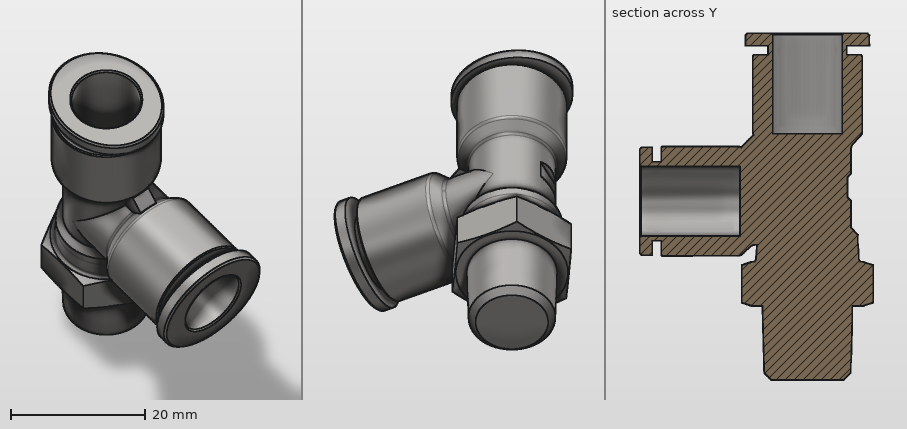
import cadquery as cq
import math


PORT_AXIS_Z = 26.6
PORT_REACH = 25.0
BODY_RADIUS = 6.5
SHELL_RADIUS = 8.18
SHOULDER_START = 8.15
SHOULDER_END = 10.05
SHOULDER_FILLET = 0.8
SHELL_END = 21.8
SHELL_EDGE_CHAMFER = 0.2
NECK_RADIUS = 5.9
FLANGE_THICKNESS = 1.9
FLANGE_LONG_DIAMETER = 18.5
FLANGE_SHORT_DIAMETER = 16.1
FLANGE_CHAMFER = 0.3
TUBE_BORE_RADIUS = 5.15
TUBE_BORE_CHAMFER = 0.25
TUBE_BORE_FLOOR = SHOULDER_END

THREAD_TIP_RADIUS = 5.4
THREAD_SMALL_RADIUS = 6.47
THREAD_LARGE_RADIUS = 6.73
THREAD_CHAMFER_LENGTH = 1.05

NUT_BOTTOM = 11.0
NUT_TOP = 17.6
NUT_ACROSS_FLATS = 17.0
NUT_ACROSS_CORNERS = NUT_ACROSS_FLATS / math.cos(math.pi / 6)
NUT_FACE_RADIUS = 8.35
NUT_CHAMFER_HEIGHT = 0.5

COLLAR_BASE_RADIUS = 7.7
COLLAR_RADIUS = 7.53
COLLAR_FOOT_FILLET = 0.4
COLLAR_STRAIGHT_Z = 20.2
COLLAR_SHOULDER_Z = 21.6
COLLAR_TOP_Z = 22.7

GUSSET_THICKNESS = 3.0
GUSSET_NEAR = 8.05
GUSSET_FAR = 9.85

RECESS_FLOOR_X = -5.97
RECESS_CENTER_Z = 28.7
RECESS_FLOOR_HEIGHT = 3.0
RECESS_DEPTH = BODY_RADIUS + RECESS_FLOOR_X


def revolve_about_z(points):
    """Solid of revolution from (radius, z) points; the first and last lie on the axis."""
    return cq.Workplane("XZ").polyline(points).close().revolve(360, (0, 0), (0, 1))


def make_port_outside():
    """Outside of one port along +Z, starting at the origin; flange is long along X."""
    shell = revolve_about_z([
        (0, 0),
        (BODY_RADIUS, 0),
        (BODY_RADIUS, SHOULDER_START),
        (SHELL_RADIUS, SHOULDER_END),
        (SHELL_RADIUS, SHELL_END),
        (0, SHELL_END),
    ])
    shell = shell.faces(">Z").edges().chamfer(SHELL_EDGE_CHAMFER)
    for shoulder_z in (SHOULDER_START, SHOULDER_END):
        near_shoulder = cq.selectors.BoxSelector(
            (-SHELL_RADIUS, -SHELL_RADIUS, shoulder_z - SHOULDER_FILLET / 2),
            (SHELL_RADIUS, SHELL_RADIUS, shoulder_z + SHOULDER_FILLET / 2),
        )
        shell = shell.edges("%CIRCLE").edges(near_shoulder).fillet(SHOULDER_FILLET)

    flange_bottom = PORT_REACH - FLANGE_THICKNESS
    neck = cq.Workplane("XY").workplane(offset=SHELL_END)
    neck = neck.circle(NECK_RADIUS).extrude(flange_bottom - SHELL_END)
    flange = cq.Workplane("XY").workplane(offset=flange_bottom)
    flange = flange.ellipse(FLANGE_LONG_DIAMETER / 2, FLANGE_SHORT_DIAMETER / 2)
    flange = flange.extrude(FLANGE_THICKNESS)
    flange = flange.faces(">Z").edges().chamfer(FLANGE_CHAMFER)
    return shell.union(neck).union(flange)


def make_tube_bore():
    """Blind tube hole of one port along +Z, with a chamfered mouth."""
    return revolve_about_z([
        (0, TUBE_BORE_FLOOR),
        (TUBE_BORE_RADIUS, TUBE_BORE_FLOOR),
        (TUBE_BORE_RADIUS, PORT_REACH - TUBE_BORE_CHAMFER),
        (TUBE_BORE_RADIUS + TUBE_BORE_CHAMFER, PORT_REACH),
        (0, PORT_REACH),
    ])


def place_on_upper_port(shape):
    return shape.translate((0, 0, PORT_AXIS_Z))


def place_on_side_port(shape):
    """Turn the flange's long axis to Y, then lay the port along +X."""
    turned = shape.rotate((0, 0, 0), (0, 0, 1), 90)
    laid_down = turned.rotate((0, 0, 0), (0, 1, 0), 90)
    return laid_down.translate((0, 0, PORT_AXIS_Z))


def make_thread():
    """Tapered thread cone with a chamfered tip, up to the top of the nut."""
    return revolve_about_z([
        (0, 0),
        (THREAD_TIP_RADIUS, 0),
        (THREAD_SMALL_RADIUS, THREAD_CHAMFER_LENGTH),
        (THREAD_LARGE_RADIUS, NUT_BOTTOM),
        (THREAD_LARGE_RADIUS, NUT_TOP),
        (0, NUT_TOP),
    ])


def make_collar():
    """Collar on the nut, flaring into it with a concave fillet, and narrowing to the body."""
    foot_radius = COLLAR_BASE_RADIUS + COLLAR_FOOT_FILLET
    fillet_top = NUT_TOP + COLLAR_FOOT_FILLET
    fillet_sagitta = COLLAR_FOOT_FILLET * (1 - math.sqrt(0.5))
    profile = (
        cq.Workplane("XZ")
        .moveTo(0, NUT_TOP)
        .lineTo(foot_radius, NUT_TOP)
        .threePointArc(
            (COLLAR_BASE_RADIUS + fillet_sagitta, NUT_TOP + fillet_sagitta),
            (COLLAR_BASE_RADIUS, fillet_top),
        )
        .lineTo(COLLAR_RADIUS, COLLAR_STRAIGHT_Z)
        .lineTo(COLLAR_RADIUS, COLLAR_SHOULDER_Z)
        .lineTo(BODY_RADIUS, COLLAR_TOP_Z)
        .lineTo(BODY_RADIUS, PORT_AXIS_Z)
        .lineTo(0, PORT_AXIS_Z)
        .close()
    )
    return profile.revolve(360, (0, 0), (0, 1))


def make_nut():
    """Hexagon with two corners on the X axis and conical chamfers on both ends."""
    corner_radius = NUT_ACROSS_CORNERS / 2
    hexagon = cq.Workplane("XY").workplane(offset=NUT_BOTTOM)
    hexagon = hexagon.polygon(6, NUT_ACROSS_CORNERS).extrude(NUT_TOP - NUT_BOTTOM)
    chamfer_envelope = revolve_about_z([
        (0, NUT_BOTTOM),
        (NUT_FACE_RADIUS, NUT_BOTTOM),
        (corner_radius, NUT_BOTTOM + NUT_CHAMFER_HEIGHT),
        (corner_radius, NUT_TOP - NUT_CHAMFER_HEIGHT),
        (NUT_FACE_RADIUS, NUT_TOP),
        (0, NUT_TOP),
    ])
    return hexagon.intersect(chamfer_envelope)


def make_gusset():
    """Web centred on Y = 0 whose 45 degree edge joins the two port shells."""
    outline = [
        (0, 0),
        (GUSSET_FAR, 0),
        (GUSSET_FAR, GUSSET_NEAR),
        (GUSSET_NEAR, GUSSET_FAR),
        (0, GUSSET_FAR),
    ]
    web = cq.Workplane("XZ").polyline(outline).close()
    web = web.extrude(GUSSET_THICKNESS / 2, both=True)
    return place_on_upper_port(web)


def make_recess():
    """Cutter with a flat floor and end walls sloping outward at 45 degrees."""
    half_floor = RECESS_FLOOR_HEIGHT / 2
    half_mouth = half_floor + RECESS_DEPTH
    outline = [
        (RECESS_FLOOR_X, RECESS_CENTER_Z - half_floor),
        (RECESS_FLOOR_X, RECESS_CENTER_Z + half_floor),
        (-BODY_RADIUS, RECESS_CENTER_Z + half_mouth),
        (-BODY_RADIUS, RECESS_CENTER_Z - half_mouth),
    ]
    return cq.Workplane("XZ").polyline(outline).close().extrude(BODY_RADIUS, both=True)


port_outside = make_port_outside()
tube_bore = make_tube_bore()

result = make_thread().union(make_nut()).union(make_collar()).union(make_gusset())
for place in (place_on_upper_port, place_on_side_port):
    result = result.union(place(port_outside))
for place in (place_on_upper_port, place_on_side_port):
    result = result.cut(place(tube_bore))
result = result.cut(make_recess())